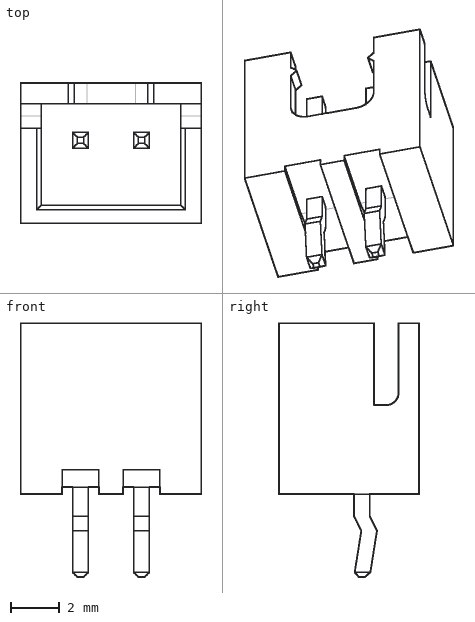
import cadquery as cq

WIDTH = 7.4
DEPTH = 5.75
HEIGHT = 7.0

SIDE_WALL = 0.85
FRONT_WALL = 0.75
BACK_WALL = 0.85
FLOOR_Z = 2.0
RIM_CHAMFER = 0.2

SIDE_SLOT_WIDTH = 1.0
SIDE_SLOT_DEPTH = 3.35
SIDE_SLOT_RADIUS = 0.5

BACK_SLOT_WIDTH = 3.5
BACK_SLOT_DEPTH = 4.0
BACK_SLOT_RADIUS = 0.75
RIDGE_HEIGHT = 0.25
RIDGE_TOP_DROP = 0.9

PITCH = 2.5
PIN_POSITIONS = (-PITCH / 2, PITCH / 2)
PIN_SIZE = 0.65
PIN_Y = 3.4
PIN_TOP_Z = 6.45
PIN_BOTTOM_Z = -3.4
PIN_TIP_CHAMFER = 0.2
KINK_START_Z = -0.9
KINK_END_Z = -1.5
KINK_OFFSET = 0.3
TAIL_END_OFFSET = 0.03

CHANNEL_WIDTH = 1.5
CHANNEL_FRONT_HEIGHT = 1.0
CHANNEL_BACK_HEIGHT = 0.28
CHANNEL_RAMP_LENGTH = 3.0


def box(x_min, x_max, y_min, y_max, z_min, z_max):
    """Axis-aligned box between the given limits."""
    size = (x_max - x_min, y_max - y_min, z_max - z_min)
    return cq.Workplane("XY").box(*size, centered=False).translate((x_min, y_min, z_min))


def extrude_along_x(points, x_centre, width):
    """Closed (Y, Z) outline extruded symmetrically about x_centre."""
    profile = cq.Workplane("YZ", origin=(x_centre, 0, 0)).polyline(points).close()
    return profile.extrude(width / 2, both=True)


def make_cavity():
    """Pocket with a bevelled lead-in on the front and side walls."""
    half_width = WIDTH / 2 - SIDE_WALL
    back_y = DEPTH - BACK_WALL
    pocket = box(-half_width, half_width, FRONT_WALL, back_y, FLOOR_Z, HEIGHT)

    pocket_length = back_y - FRONT_WALL
    rim_length = pocket_length + RIM_CHAMFER
    lead_in = (
        cq.Workplane("XY", origin=(0, back_y, HEIGHT - RIM_CHAMFER))
        .center(0, -pocket_length / 2)
        .rect(2 * half_width, pocket_length)
        .workplane(offset=RIM_CHAMFER)
        .center(0, -RIM_CHAMFER / 2)
        .rect(2 * (half_width + RIM_CHAMFER), rim_length)
        .loft(ruled=True)
    )
    return pocket.union(lead_in)


def make_side_slots():
    """Slot crossing both side walls, rounded at its rear bottom corner."""
    back_y = DEPTH - BACK_WALL
    slot = box(-WIDTH / 2, WIDTH / 2, back_y - SIDE_SLOT_WIDTH, back_y, HEIGHT - SIDE_SLOT_DEPTH, HEIGHT)
    return slot.edges("<Z and >Y").fillet(SIDE_SLOT_RADIUS)


def make_back_slot():
    """Opening through the back wall with both bottom corners rounded."""
    half_width = BACK_SLOT_WIDTH / 2
    slot = box(-half_width, half_width, DEPTH - BACK_WALL, DEPTH, HEIGHT - BACK_SLOT_DEPTH, HEIGHT)
    return slot.edges("|Y and <Z").fillet(BACK_SLOT_RADIUS)


def make_ridge(side):
    """Triangular latching ridge on the back opening; side is -1 or +1 along X."""
    edge_x = side * BACK_SLOT_WIDTH / 2
    top_z = HEIGHT - RIDGE_TOP_DROP
    profile = cq.Workplane("XZ", origin=(0, DEPTH, 0)).polyline([
        (edge_x, top_z),
        (edge_x - side * RIDGE_HEIGHT, top_z - RIDGE_HEIGHT),
        (edge_x, top_z - 2 * RIDGE_HEIGHT),
    ]).close()
    return profile.extrude(BACK_WALL)


def make_channel(x_centre):
    """Channel from front to back whose roof ramps down from the front face, then runs level."""
    return extrude_along_x([
        (0, 0),
        (0, CHANNEL_FRONT_HEIGHT),
        (CHANNEL_RAMP_LENGTH, CHANNEL_BACK_HEIGHT),
        (DEPTH, CHANNEL_BACK_HEIGHT),
        (DEPTH, 0),
    ], x_centre, CHANNEL_WIDTH)


def make_pin(x_centre):
    """Square pin with a kinked tail and pyramidal tips."""
    front_y = PIN_Y - PIN_SIZE / 2
    back_y = PIN_Y + PIN_SIZE / 2
    tail_end_z = PIN_BOTTOM_Z + PIN_TIP_CHAMFER
    shaft = extrude_along_x([
        (front_y, PIN_TOP_Z),
        (front_y, KINK_START_Z),
        (front_y + KINK_OFFSET, KINK_END_Z),
        (front_y + TAIL_END_OFFSET, tail_end_z),
        (back_y + TAIL_END_OFFSET, tail_end_z),
        (back_y + KINK_OFFSET, KINK_END_Z),
        (back_y, KINK_START_Z),
        (back_y, PIN_TOP_Z),
    ], x_centre, PIN_SIZE)
    shaft = shaft.faces(">Z").chamfer(PIN_TIP_CHAMFER)

    tip_size = PIN_SIZE - 2 * PIN_TIP_CHAMFER
    tail_tip = (
        cq.Workplane("XY", origin=(x_centre, PIN_Y + TAIL_END_OFFSET, tail_end_z))
        .rect(PIN_SIZE, PIN_SIZE)
        .workplane(offset=-PIN_TIP_CHAMFER)
        .center(0, -TAIL_END_OFFSET)
        .rect(tip_size, tip_size)
        .loft(ruled=True)
    )
    return shaft.union(tail_tip)


result = box(-WIDTH / 2, WIDTH / 2, 0, DEPTH, 0, HEIGHT)
result = result.cut(make_cavity()).cut(make_side_slots()).cut(make_back_slot())
for ridge_side in (-1, 1):
    result = result.union(make_ridge(ridge_side))
for pin_x in PIN_POSITIONS:
    result = result.cut(make_channel(pin_x)).union(make_pin(pin_x))